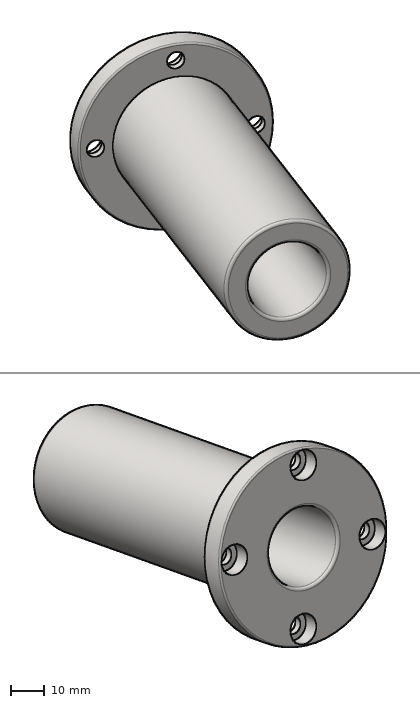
import cadquery as cq

length = 112.0
flange_diameter = 62.0
flange_thickness = 8.1
sleeve_diameter = 40.0
bore_diameter = 25.0

flange_fillet = 0.6
sleeve_fillet = 1.0
bore_fillet = 1.0

hole_count = 4
hole_circle_diameter = 51.0
hole_diameter = 5.5
counterbore_diameter = 9.5
counterbore_depth = 5.4


def cylinder(diameter, height):
    """Cylinder on the X axis, starting at X = 0."""
    return cq.Workplane("YZ").circle(diameter / 2).extrude(height)


def make_flange():
    """Flange disc, rounded on both rims."""
    return cylinder(flange_diameter, flange_thickness).faces("<X or >X").edges().fillet(flange_fillet)


def make_sleeve():
    """Sleeve, rounded at its free end."""
    return cylinder(sleeve_diameter, length).faces(">X").edges().fillet(sleeve_fillet)


def cut_bore(body):
    """Through bore, rounded at both mouths."""
    bored = body.cut(cylinder(bore_diameter, length))
    mouths = bored.faces("<X or >X").edges(cq.selectors.RadiusNthSelector(0))
    return mouths.fillet(bore_fillet)


def cut_screw_holes(body):
    """Counterbored holes evenly spaced around the flange, sunk from its outer face."""
    return (
        body.faces("<X")
        .workplane(centerOption="ProjectedOrigin", origin=(0, 0, 0))
        .polarArray(hole_circle_diameter / 2, 0, 360, hole_count)
        .cboreHole(hole_diameter, counterbore_diameter, counterbore_depth, flange_thickness)
    )


body = make_flange().union(make_sleeve())
result = cut_screw_holes(cut_bore(body))